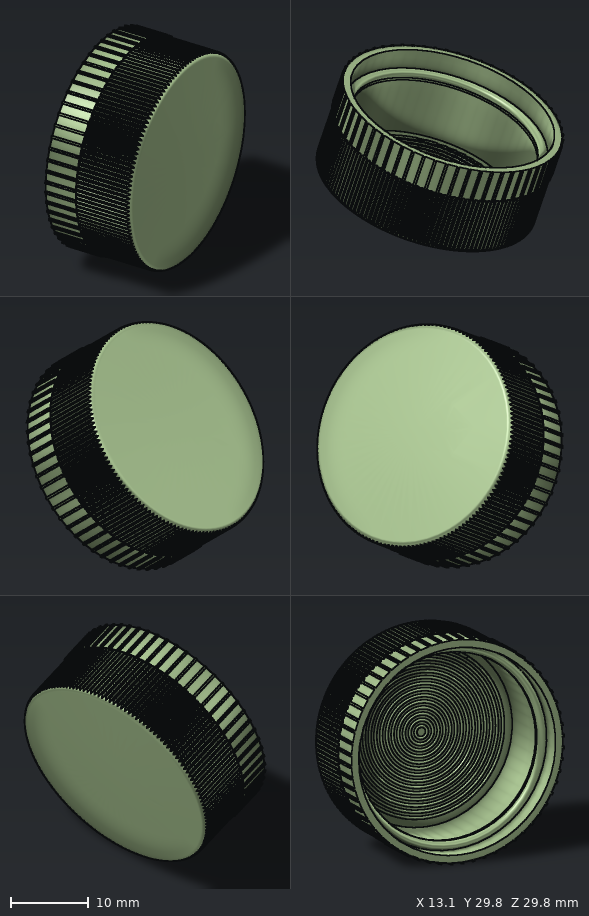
import cadquery as cq
import math

overall_length = 13.13
overall_diameter = 29.77
body_radius = 14.7

seat_radius = 27.4 / 2
seat_depth = 3.87
bore_radius = 25.0 / 2

rim_x = 12.65
corner_radius = 0.8
end_thickness = 1.0
dome_edge_radius = body_radius - corner_radius
dome_height = overall_length - rim_x
dome_radius = (dome_edge_radius ** 2 + dome_height ** 2) / (2 * dome_height)
dome_center_x = overall_length - dome_radius
floor_dome_radius = dome_radius - end_thickness

band_length = 4.5
rib_count = 60
rib_width = 0.3
rib_root_overlap = 0.12
rib_step = 360.0 / rib_count
half_step = math.radians(rib_step / 2)
rib_tip_radius = (overall_diameter / 2 - rib_width / 2 * math.sin(half_step)) / math.cos(half_step)

groove_count = 150
groove_depth = 0.2
groove_half_width = 0.2
groove_overcut = 0.05

ridge_count = 14
ridge_pitch = 0.8
ridge_radius = 0.2

seal_section_radius = 0.63
seal_x = 3.15
seal_radius = seat_radius - seal_section_radius


def along_x(x):
    """Workplane normal to +X at the given X, with local x along Y and local y along Z."""
    return cq.Workplane("YZ", origin=(x, 0, 0))


def torus_about_x(x, ring_radius, section_radius):
    return cq.Solid.makeTorus(ring_radius, section_radius, cq.Vector(x, 0, 0), cq.Vector(1, 0, 0))


def copies_about_x(shape, count, first_angle):
    """Evenly spaced copies of a shape around the X axis."""
    step = 360.0 / count
    origin = cq.Vector(0, 0, 0)
    axis_end = cq.Vector(1, 0, 0)
    return [shape.rotate(origin, axis_end, first_angle + i * step) for i in range(count)]


def sphere_x(sphere_radius, distance):
    """X of a sphere about the dome center, at a distance from the axis."""
    return dome_center_x + math.sqrt(sphere_radius ** 2 - distance ** 2)


def floor_x(distance):
    """X of the domed cap floor, at a distance from the axis."""
    return sphere_x(floor_dome_radius, distance)


def make_cap_blank():
    """Smooth cup with a stepped bore and a domed closed end."""
    floor_mid_radius = bore_radius / 2
    dome_mid_radius = dome_edge_radius / 2
    round_center_x = rim_x - corner_radius
    round_mid = corner_radius * math.sqrt(0.5)

    outline = (
        cq.Workplane("XY")
        .moveTo(floor_x(0), 0)
        .threePointArc(
            (floor_x(floor_mid_radius), floor_mid_radius),
            (floor_x(bore_radius), bore_radius),
        )
        .lineTo(seat_depth, bore_radius)
        .lineTo(seat_depth, seat_radius)
        .lineTo(0, seat_radius)
        .lineTo(0, body_radius)
        .lineTo(round_center_x, body_radius)
        .threePointArc(
            (round_center_x + round_mid, dome_edge_radius + round_mid),
            (rim_x, dome_edge_radius),
        )
        .threePointArc((sphere_x(dome_radius, dome_mid_radius), dome_mid_radius), (overall_length, 0))
        .close()
    )
    return outline.revolve(360, (0, 0, 0), (1, 0, 0)).val()


def make_band_ribs():
    """Narrow straight ribs around the mouth."""
    rib_root_radius = body_radius - rib_root_overlap
    rib_height = rib_tip_radius - rib_root_radius
    rib = (
        along_x(0)
        .center(rib_root_radius + rib_height / 2, 0)
        .rect(rib_height, rib_width)
        .extrude(band_length)
    )
    return copies_about_x(rib.val(), rib_count, rib_step / 2)


def make_knurl_cutters():
    """V-shaped bars that start at the band and fade out through the corner round."""
    cutter_top_radius = body_radius + groove_overcut
    cutter_half_width = groove_half_width * (1 + groove_overcut / groove_depth)
    cutter = (
        along_x(band_length)
        .moveTo(body_radius - groove_depth, 0)
        .lineTo(cutter_top_radius, cutter_half_width)
        .lineTo(cutter_top_radius, -cutter_half_width)
        .close()
        .extrude(overall_length - band_length)
    )
    return copies_about_x(cutter.val(), groove_count, 0)


def make_floor_ridges():
    """Concentric rings, each of which stands half out of the cap floor."""
    distances = [i * ridge_pitch for i in range(1, ridge_count + 1)]
    return [torus_about_x(floor_x(distance), distance, ridge_radius) for distance in distances]


def make_cap():
    knurled = make_cap_blank().cut(*make_knurl_cutters())
    return cq.Workplane(knurled.fuse(*make_band_ribs(), *make_floor_ridges()))


def make_seal():
    return cq.Workplane(torus_about_x(seal_x, seal_radius, seal_section_radius))


cap = make_cap()
seal = make_seal()

result = cq.Compound.makeCompound([*cap.solids().vals(), seal.val()])